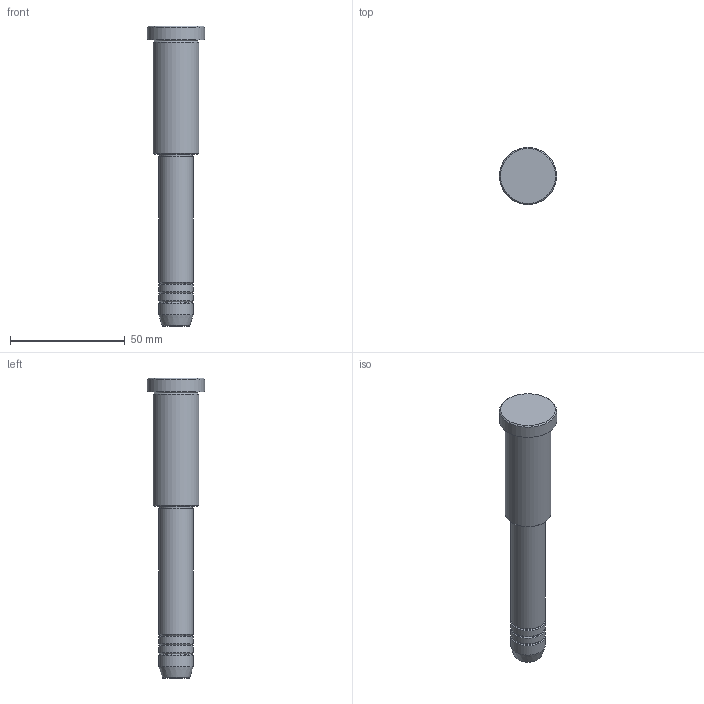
import cadquery as cq

head_height = 6.0
body_length = 50.0
shank_length = 75.0
nose_length = 5.0

head_radius = 12.5
body_radius = 10.0
shank_radius = 7.5
nose_end_radius = 6.1

head_chamfer = 0.5
body_chamfer = 0.5
tip_chamfer = 0.3

nose_bulge = 0.06

neck_width = 1.0
neck_depth = 0.5

groove_width = 1.0
groove_depth = 0.5
ring_count = 3
ring_pitch = 4.0
lowest_ring_height = 10.5
ring_root_drop = 0.15

body_bottom = shank_length
head_bottom = body_bottom + body_length
top = head_bottom + head_height


def draw_nose(profile):
    """Chamfered tip and the curved side that swells to the shank radius."""
    middle_radius = (shank_radius + nose_end_radius) / 2 + nose_bulge
    middle_height = (nose_length + tip_chamfer) / 2
    return (
        profile.lineTo(nose_end_radius - tip_chamfer, 0)
        .lineTo(nose_end_radius, tip_chamfer)
        .threePointArc((middle_radius, middle_height), (shank_radius, nose_length))
    )


def draw_v_groove(profile, radius, height, root_drop=0):
    """V groove centred on a height of a cylindrical surface, its root lowered by root_drop."""
    return (
        profile.lineTo(radius, height - groove_width / 2)
        .lineTo(radius - groove_depth, height - root_drop)
        .lineTo(radius, height + groove_width / 2)
    )


def draw_shank(profile):
    """Shank side with its ring grooves, ending in the neck beneath the body."""
    for ring in range(ring_count):
        ring_height = lowest_ring_height + ring * ring_pitch
        profile = draw_v_groove(profile, shank_radius, ring_height, ring_root_drop)
    neck_radius = shank_radius - neck_depth
    return (
        profile.lineTo(shank_radius, body_bottom - neck_width)
        .lineTo(neck_radius, body_bottom - neck_width)
        .lineTo(neck_radius, body_bottom)
    )


def draw_body(profile):
    """Body with a chamfered lower edge and a V groove right beneath the head."""
    profile = profile.lineTo(body_radius - body_chamfer, body_bottom)
    profile = profile.lineTo(body_radius, body_bottom + body_chamfer)
    return draw_v_groove(profile, body_radius, head_bottom - groove_width / 2)


def draw_head(profile):
    """Head with a chamfered top edge, back to the pin axis."""
    return (
        profile.lineTo(head_radius, head_bottom)
        .lineTo(head_radius, top - head_chamfer)
        .lineTo(head_radius - head_chamfer, top)
        .lineTo(0, top)
    )


outline = cq.Workplane("XZ").moveTo(0, 0)
for draw_section in (draw_nose, draw_shank, draw_body, draw_head):
    outline = draw_section(outline)
result = outline.close().revolve(360, (0, 0, 0), (0, 1, 0))